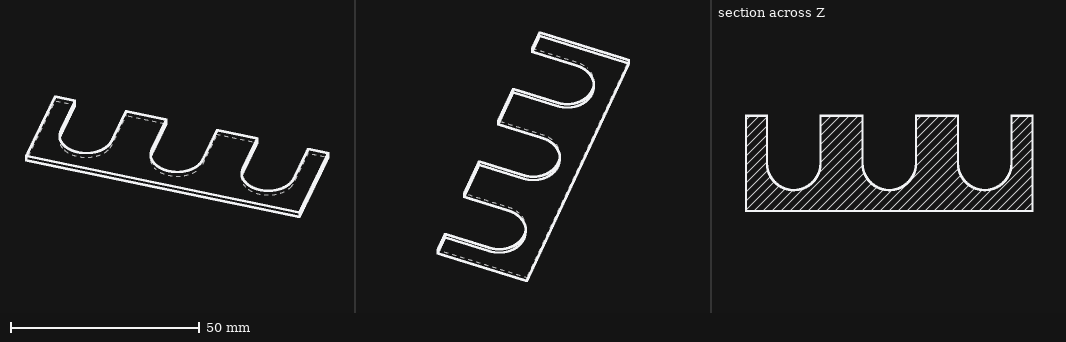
import cadquery as cq

length = 76.2
slot_count = 3
pitch = length / slot_count
depth = pitch
thickness = 1.6
slot_width = 14.2
slot_radius = slot_width / 2
web = (pitch - slot_width) / 2
arc_center_y = web + slot_radius


def slot_cutter(center_x):
    """Solid of one slot: straight sides ending in a full half round."""
    return (
        cq.Workplane("XY")
        .moveTo(center_x - slot_radius, depth)
        .lineTo(center_x - slot_radius, arc_center_y)
        .threePointArc((center_x, web), (center_x + slot_radius, arc_center_y))
        .lineTo(center_x + slot_radius, depth)
        .close()
        .extrude(thickness)
    )


result = cq.Workplane("XY").box(length, depth, thickness, centered=False)
for index in range(slot_count):
    result = result.cut(slot_cutter((index + 0.5) * pitch))